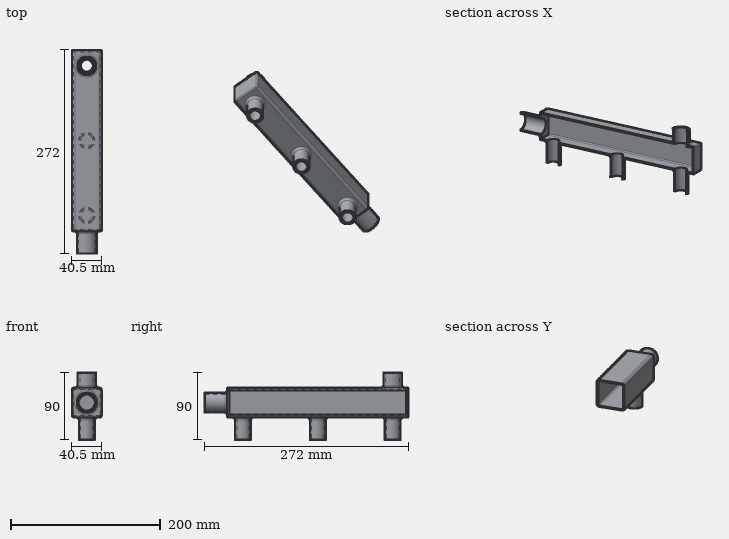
import cadquery as cq

BODY_WIDTH = 40.0
BODY_HEIGHT = 40.0
BODY_LENGTH = 242.0
CORNER_RADIUS = 4.0
END_RADIUS = 2.0
WALL = 2.5

PLATE_THICKNESS = 0.55
PLATE_END_MARGIN = 3.0
PLATE_LENGTH = BODY_LENGTH - 2 * PLATE_END_MARGIN
PLATE_HEIGHT = BODY_HEIGHT - 2 * CORNER_RADIUS

BRANCH_OUTER = 21.3
BRANCH_BORE = 16.3
BRANCH_LENGTH = 30.0
BRANCH_WELD = 3.15
BRANCH_COUNT = 3
BRANCH_PITCH = 100.0
REAR_BRANCH_Y = BRANCH_PITCH * (BRANCH_COUNT - 1) / 2

RISER_OUTER = 25.0
RISER_BORE = 18.63
RISER_LENGTH = 20.0
RISER_WELD = 3.0

SUPPLY_OUTER = 26.8
SUPPLY_BORE = 22.0
SUPPLY_LENGTH = 30.0
SUPPLY_WELD = 3.0

TIP_CHAMFER = 0.5

UP = (0, 0, 1)
DOWN = (0, 0, -1)
FRONTWARD = (0, -1, 0)


def make_body():
    """Box with rounded long edges and smaller rounds at both ends."""
    body = cq.Workplane("XY").box(BODY_WIDTH, BODY_LENGTH, BODY_HEIGHT)
    body = body.edges("|Y").fillet(CORNER_RADIUS)
    return body.faces("<Y or >Y").edges().fillet(END_RADIUS)


def make_side_plate():
    """Thin plate standing on the +X side of the body."""
    plate = cq.Workplane("XY").box(PLATE_THICKNESS, PLATE_LENGTH, PLATE_HEIGHT)
    return plate.translate(((BODY_WIDTH + PLATE_THICKNESS) / 2, 0, 0))


def make_cavity():
    """Inner space of the body, one wall thickness inside every face."""
    cavity = cq.Workplane("XY").box(
        BODY_WIDTH - 2 * WALL,
        BODY_LENGTH - 2 * WALL,
        BODY_HEIGHT - 2 * WALL,
    )
    return cavity.edges("|Y").fillet(CORNER_RADIUS - WALL)


def pipe_plane(foot, direction):
    """Plane on the body face at the pipe's foot, facing along the pipe."""
    return cq.Plane(origin=foot, xDir=(1, 0, 0), normal=direction)


def make_pipe(foot, direction, outer, length, weld):
    """Solid pipe sunk into the wall, with a concave weld at its foot and a bevelled tip."""
    radius = outer / 2
    weld_middle = weld * (1 - 0.5 ** 0.5)
    profile = (
        cq.Workplane("XZ")
        .moveTo(0, -WALL)
        .lineTo(radius + weld, -WALL)
        .lineTo(radius + weld, 0)
        .threePointArc((radius + weld_middle, weld_middle), (radius, weld))
        .lineTo(radius, length - TIP_CHAMFER)
        .lineTo(radius - TIP_CHAMFER, length)
        .lineTo(0, length)
        .close()
    )
    pipe = profile.revolve(360, (0, 0, 0), (0, 1, 0))
    return cq.Workplane(pipe.val().moved(cq.Location(pipe_plane(foot, direction))))


def make_bore(foot, direction, bore, length):
    """Cutter running from the cavity out through the end of the pipe."""
    plane = cq.Workplane(pipe_plane(foot, direction))
    return plane.workplane(offset=-WALL).circle(bore / 2).extrude(WALL + length)


def make_supply_countersink():
    """Cone that bevels the inner rim of the supply pipe."""
    rim_radius = SUPPLY_BORE / 2 + TIP_CHAMFER
    tip = (0, -BODY_LENGTH / 2 - SUPPLY_LENGTH, 0)
    cone = cq.Solid.makeCone(
        rim_radius, SUPPLY_BORE / 2, TIP_CHAMFER, pnt=cq.Vector(tip), dir=cq.Vector(0, 1, 0)
    )
    return cq.Workplane(cone)


supply_foot = (0, -BODY_LENGTH / 2, 0)
riser_foot = (0, REAR_BRANCH_Y, BODY_HEIGHT / 2)

pipes = [
    (supply_foot, FRONTWARD, SUPPLY_OUTER, SUPPLY_BORE, SUPPLY_LENGTH, SUPPLY_WELD),
    (riser_foot, UP, RISER_OUTER, RISER_BORE, RISER_LENGTH, RISER_WELD),
]
for index in range(BRANCH_COUNT):
    branch_foot = (0, REAR_BRANCH_Y - index * BRANCH_PITCH, -BODY_HEIGHT / 2)
    pipes.append((branch_foot, DOWN, BRANCH_OUTER, BRANCH_BORE, BRANCH_LENGTH, BRANCH_WELD))

result = make_body().union(make_side_plate())
for foot, direction, outer, bore, length, weld in pipes:
    result = result.union(make_pipe(foot, direction, outer, length, weld))

result = result.cut(make_cavity())
for foot, direction, outer, bore, length, weld in pipes:
    result = result.cut(make_bore(foot, direction, bore, length))
result = result.cut(make_supply_countersink())